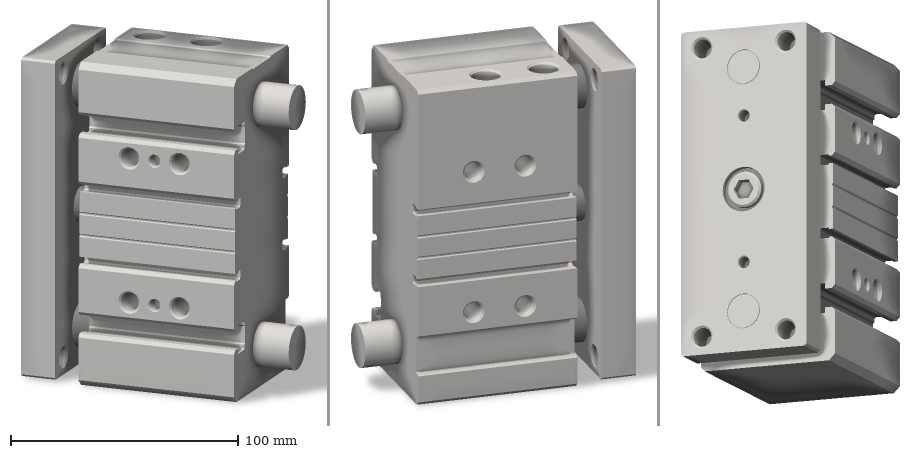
import cadquery as cq
import math


plate_thickness = 16.0
plate_depth = 60.0
plate_height = 146.0
plate_edge_chamfer = 1.0
gap = 12.0
housing_length = 74.0
housing_depth = 64.0
housing_height = 148.0
front_edge_chamfer = 3.0
back_edge_chamfer = 1.6
top_recess_width = 21.3
top_recess_depth = 0.6

rod_diameter = 20.0
rod_spacing = 110.0
rod_projection = 17.0
rod_ring_outer = 15.7
rod_ring_inner = 14.8
rod_ring_depth = 0.5
piston_diameter = 16.0
piston_end_chamfer = 0.9
piston_insertion = 37.0
piston_recess_diameter = 20.0
piston_recess_depth = 3.0
collar_diameter = 20.0
collar_length = 1.2
socket_across_flats = 8.3
socket_depth = 4.5

drill_point_angle = 118.0
bolt_hole_diameter = 8.5
bolt_hole_chamfer = 0.9
plate_bolt_spacing_y = 40.0
plate_bolt_spacing_z = 130.0
mount_offset = 36.1
mount_spacing = 24.0
hole_row_spacing = 66.0
pin_hole_diameter = 5.2
pin_hole_chamfer = 0.5
pin_hole_depth = 7.4
port_diameter = 12.9
port_bottom_diameter = 11.5
port_chamfer = 0.9
port_depth = 11.8
port_floor_diameter = 4.5
port_offset = 12.1
port_pitch = 27.0
port_y = 21.6

slot_lip_chamfer = 1.6
t_slot_offset = 45.7
t_slot_mouth = 8.5
t_slot_lip = 4.7
t_slot_width = 13.3
t_slot_step = 12.1
t_slot_step_width = 8.9
t_slot_depth = 13.0
t_slot_corner = 0.6
land_half_height = 14.8
land_setback = 1.0
side_slot_height = 3.4
side_slot_lip = 3.0
side_slot_undercut = 0.6
side_slot_depth = 7.4
side_slot_corner = 0.6
land_groove_offset = 5.0
land_groove_width = 1.5
land_groove_floor = 0.6
land_groove_depth = 0.5
back_slot_offset = 50.8
back_slot_height = 17.3
back_slot_depth = 3.7
back_slot_chamfer = 0.7

housing_start = plate_thickness + gap
housing_end = housing_start + housing_length
back_y = housing_depth / 2
front_y = -back_y
top_z = housing_height / 2
rod_heights = (-rod_spacing / 2, rod_spacing / 2)
hole_row_heights = (-hole_row_spacing / 2, hole_row_spacing / 2)
hole_row_x = housing_start + mount_offset


def cylinder_x(diameter, start, end, z=0):
    return cq.Workplane("YZ", origin=(start, 0, z)).circle(diameter / 2).extrude(end - start)


def housing_prism(points):
    """Prism with a (y, z) outline, as long as the housing."""
    return cq.Workplane("YZ", origin=(housing_start, 0, 0)).polyline(points).close().extrude(housing_length)


def hole_cutter(position, direction, profile):
    """Cutter turned from (radius, depth) points, entering at position along direction."""
    turned = cq.Workplane("XZ").polyline(profile).close().revolve(360, (0, 0), (0, 1)).val()
    entry = cq.Plane(origin=position, normal=direction)
    return cq.Workplane(turned.moved(entry.location))


def through_profile(diameter, chamfer, depth):
    """Through hole with the same chamfer at both ends."""
    radius = diameter / 2
    wide = radius + chamfer
    return [(0, 0), (wide, 0), (radius, chamfer), (radius, depth - chamfer), (wide, depth), (0, depth)]


def point_depth(radius_change):
    """Depth over which a drill point narrows by the given radius."""
    return radius_change / math.tan(math.radians(drill_point_angle / 2))


def pin_hole_profile():
    """Blind hole ending in a drill point."""
    radius = pin_hole_diameter / 2
    return [
        (0, 0),
        (radius + pin_hole_chamfer, 0),
        (radius, pin_hole_chamfer),
        (radius, pin_hole_depth),
        (0, pin_hole_depth + point_depth(radius)),
    ]


def port_profile():
    """Tapered blind hole ending in a cone with a small flat floor."""
    radius = port_diameter / 2
    bottom_radius = port_bottom_diameter / 2
    floor_radius = port_floor_diameter / 2
    floor_depth = port_depth + point_depth(bottom_radius - floor_radius)
    return [
        (0, 0),
        (radius + port_chamfer, 0),
        (radius, port_chamfer),
        (bottom_radius, port_depth),
        (floor_radius, floor_depth),
        (0, floor_depth),
    ]


def housing_block():
    front = front_edge_chamfer
    back = back_edge_chamfer
    half_recess = top_recess_width / 2
    recess_z = top_z - top_recess_depth
    return housing_prism([
        (front_y + front, -top_z),
        (back_y - back, -top_z),
        (back_y, -top_z + back),
        (back_y, top_z - back),
        (back_y - back, top_z),
        (half_recess, top_z),
        (half_recess - top_recess_depth, recess_z),
        (-half_recess + top_recess_depth, recess_z),
        (-half_recess, top_z),
        (front_y + front, top_z),
        (front_y, top_z - front),
        (front_y, -top_z + front),
    ])


def t_slot(center_z):
    mouth = t_slot_mouth / 2
    half = t_slot_width / 2
    step_half = t_slot_step_width / 2
    lip_y = front_y + t_slot_lip
    step_y = front_y + t_slot_step
    floor_y = front_y + t_slot_depth
    upper = [
        (front_y, mouth + slot_lip_chamfer),
        (front_y + slot_lip_chamfer, mouth),
        (lip_y, mouth),
        (lip_y, half),
        (step_y - t_slot_corner, half),
        (step_y, half - t_slot_corner),
        (step_y, step_half),
        (floor_y, step_half - t_slot_corner),
    ]
    lower = [(y, -z) for y, z in reversed(upper)]
    return housing_prism([(y, center_z + z) for y, z in upper + lower])


def side_slot(side, sign):
    """Small undercut slot above (sign 1) or below (sign -1) the middle strip."""
    inner = land_half_height
    outer = inner + side_slot_height
    wide_inner = inner - side_slot_undercut
    wide_outer = outer + side_slot_undercut
    mouth_outer = outer + slot_lip_chamfer if side < 0 else outer
    outline = [
        (0, inner),
        (side_slot_lip, inner),
        (side_slot_lip, wide_inner),
        (side_slot_depth - side_slot_corner, wide_inner),
        (side_slot_depth, wide_inner + side_slot_corner),
        (side_slot_depth, wide_outer - side_slot_corner),
        (side_slot_depth - side_slot_corner, wide_outer),
        (side_slot_lip, wide_outer),
        (side_slot_lip, outer),
        (slot_lip_chamfer, outer),
        (0, mouth_outer),
    ]
    return housing_prism([(side * (back_y - depth), sign * z) for depth, z in outline])


def land_groove(side, sign):
    land_y = side * (back_y - land_setback)
    floor_y = land_y - side * land_groove_depth
    center_z = sign * land_groove_offset
    return housing_prism([
        (land_y, center_z - land_groove_width / 2),
        (floor_y, center_z - land_groove_floor / 2),
        (floor_y, center_z + land_groove_floor / 2),
        (land_y, center_z + land_groove_width / 2),
    ])


def middle_cuts(side):
    """Set-back middle strip with its slots and grooves, on the front (-1) or back (1)."""
    wall_y = side * back_y
    land_y = side * (back_y - land_setback)
    cuts = housing_prism([
        (wall_y, -land_half_height),
        (land_y, -land_half_height),
        (land_y, land_half_height),
        (wall_y, land_half_height),
    ])
    for sign in (-1, 1):
        cuts = cuts.union(side_slot(side, sign)).union(land_groove(side, sign))
    return cuts


def back_slot():
    top = -back_slot_offset + back_slot_height / 2
    bottom = -back_slot_offset - back_slot_height / 2
    edge_y = back_y - back_slot_chamfer
    floor_y = back_y - back_slot_depth
    return housing_prism([
        (back_y, top + back_slot_chamfer),
        (edge_y, top),
        (floor_y, top),
        (floor_y, bottom),
        (edge_y, bottom),
        (back_y, bottom - back_slot_chamfer),
    ])


def mounting_holes():
    through = through_profile(bolt_hole_diameter, bolt_hole_chamfer, housing_depth)
    pin = pin_hole_profile()
    cutters = []
    for z in hole_row_heights:
        cutters.append(hole_cutter((hole_row_x, front_y, z), (0, 1, 0), pin))
        for x in (hole_row_x - mount_spacing / 2, hole_row_x + mount_spacing / 2):
            cutters.append(hole_cutter((x, front_y, z), (0, 1, 0), through))
    return cutters


def ports():
    profile = port_profile()
    first_x = housing_start + port_offset
    return [hole_cutter((x, port_y, top_z), (0, 0, -1), profile) for x in (first_x, first_x + port_pitch)]


def make_housing():
    body = housing_block()
    body = body.union(cylinder_x(collar_diameter, housing_start - collar_length, housing_start))
    for sign in (-1, 1):
        body = body.cut(t_slot(sign * t_slot_offset)).cut(middle_cuts(sign))
    body = body.cut(back_slot())
    for cutter in mounting_holes() + ports():
        body = body.cut(cutter)
    for z in rod_heights:
        body = body.cut(cylinder_x(rod_diameter, housing_start, housing_end, z))
    piston_hole = cylinder_x(piston_diameter, housing_start - collar_length, housing_start + piston_insertion)
    return body.cut(piston_hole)


def make_plate():
    plate = (
        cq.Workplane("XY")
        .box(plate_thickness, plate_depth, plate_height, centered=(False, True, True))
        .edges("|X")
        .chamfer(plate_edge_chamfer)
    )
    bolt = through_profile(bolt_hole_diameter, bolt_hole_chamfer, plate_thickness)
    for y in (-plate_bolt_spacing_y / 2, plate_bolt_spacing_y / 2):
        for z in (-plate_bolt_spacing_z / 2, plate_bolt_spacing_z / 2):
            plate = plate.cut(hole_cutter((0, y, z), (1, 0, 0), bolt))
    pin = pin_hole_profile()
    for z in hole_row_heights:
        plate = plate.cut(hole_cutter((0, 0, z), (1, 0, 0), pin))
    for z in rod_heights:
        plate = plate.cut(cylinder_x(rod_diameter, 0, plate_thickness, z))
    plate = plate.cut(cylinder_x(piston_diameter, 0, plate_thickness))
    return plate.cut(cylinder_x(piston_recess_diameter, 0, piston_recess_depth))


def make_guide_rod(z):
    rod = cylinder_x(rod_diameter, 0, housing_end + rod_projection, z)
    ring = cylinder_x(rod_ring_outer, 0, rod_ring_depth, z).cut(cylinder_x(rod_ring_inner, 0, rod_ring_depth, z))
    return rod.cut(ring)


def make_piston_rod():
    rod = cylinder_x(piston_diameter, 0, housing_start + piston_insertion)
    rod = rod.faces("<X").chamfer(piston_end_chamfer)
    across_corners = socket_across_flats / math.cos(math.pi / 6)
    return rod.cut(cq.Workplane("YZ").polygon(6, across_corners).extrude(socket_depth))


housing = make_housing()
plate = make_plate()
guide_rods = [make_guide_rod(z) for z in rod_heights]
piston_rod = make_piston_rod()

result = cq.Compound.makeCompound([
    housing.val(),
    plate.val(),
    *[rod.val() for rod in guide_rods],
    piston_rod.val(),
])